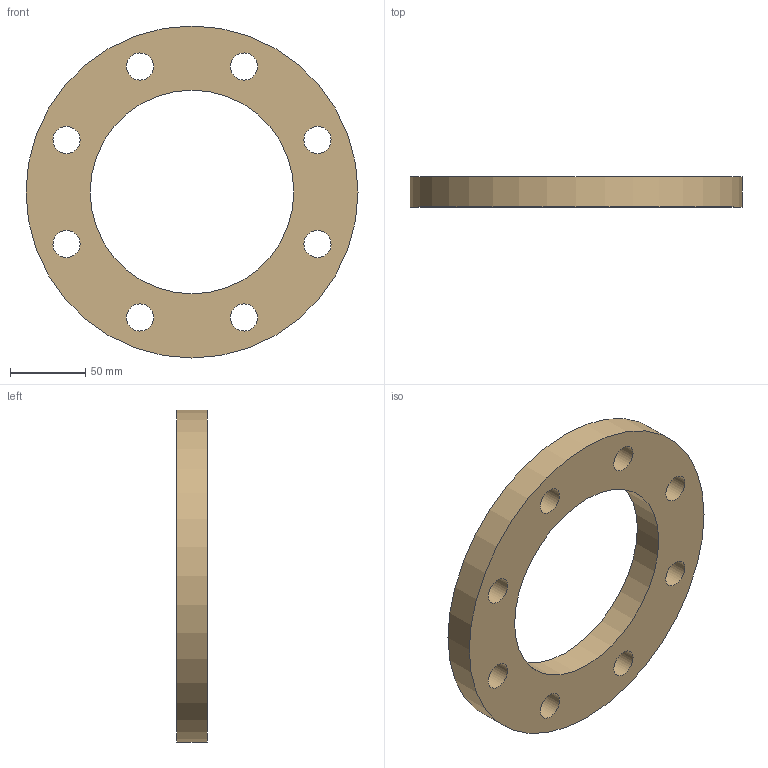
import cadquery as cq

outer_diameter = 220.0
bore_diameter = 135.0
thickness = 20.0

bolt_circle_diameter = 180.0
bolt_hole_diameter = 18.0
bolt_count = 8
first_bolt_angle = 360.0 / bolt_count / 2


def ring():
    """Plain ring about the Y axis, from the XZ plane towards -Y."""
    return (
        cq.Workplane("XZ")
        .circle(outer_diameter / 2)
        .circle(bore_diameter / 2)
        .extrude(thickness)
    )


def bolt_holes():
    """Cylinders that cut the bolt holes through the full thickness."""
    return (
        cq.Workplane("XZ")
        .polarArray(bolt_circle_diameter / 2, first_bolt_angle, 360.0, bolt_count)
        .circle(bolt_hole_diameter / 2)
        .extrude(thickness)
    )


result = ring().cut(bolt_holes())